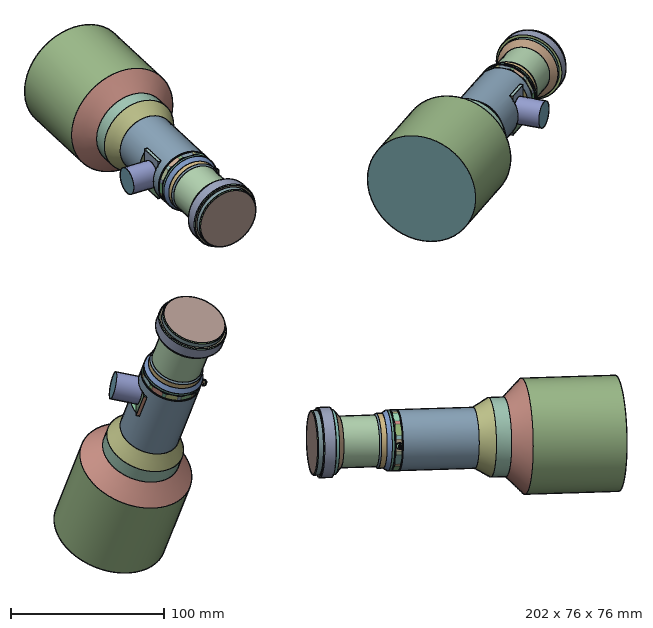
import cadquery as cq
import math

total_length = 202.0
hood_radius = 38.0
shoulder_radius = 26.0
body_radius = 20.0
neck_ring_radius = 18.0
tube_radius = 17.0
rim_radius = 21.2
flange_radius = 23.0

hood_end = 62.2
shoulder_start = 74.3
shoulder_end = 84.4
body_start = 94.7
body_chamfer_start = 152.2
neck_ring_start = 155.3
neck_ring_end = 158.9
tube_start = 160.1
eyecup_start = 183.7
eyecup_cone_end = 187.4
flange_start = 189.8
flange_end = 198.0
flange_chamfer = 0.6
rim_chamfer = 0.6

ring_start = 145.0
ring_end = 150.5
ring_sides = 12
ring_flat_distance = 19.5
ring_bevel = 0.8
ring_bevel_drop = 1.0

pin_x = 129.2
pin_radius = 9.0
pin_reach = 34.5
pad_height = 28.5
pad_distance = 16.4

screw_radius = 1.0
screw_head_radius = 2.2
screw_head_base = 20.4
screw_head_chamfer = 1.0
screw_reach = 23.5
screw_slot_width = 1.0
screw_slot_depth = 0.6


def revolved_body():
    outline = [
        (0, 0),
        (0, hood_radius),
        (hood_end, hood_radius),
        (shoulder_start, shoulder_radius),
        (shoulder_end, shoulder_radius),
        (body_start, body_radius),
        (body_chamfer_start, body_radius),
        (neck_ring_start, neck_ring_radius),
        (neck_ring_end, neck_ring_radius),
        (tube_start, tube_radius),
        (eyecup_start, tube_radius),
        (eyecup_cone_end, rim_radius),
        (flange_start, rim_radius),
        (flange_start, flange_radius),
        (flange_end - flange_chamfer, flange_radius),
        (flange_end, flange_radius - flange_chamfer),
        (flange_end, rim_radius),
        (total_length - rim_chamfer, rim_radius),
        (total_length, rim_radius - rim_chamfer),
        (total_length, 0),
    ]
    return cq.Workplane("XY").polyline(outline).close().revolve(360, (0, 0), (1, 0))


def ring_space():
    """Plain band of the body that the grip ring replaces."""
    return (
        cq.Workplane("YZ", origin=(ring_start, 0, 0))
        .circle(hood_radius)
        .extrude(ring_end - ring_start)
    )


def grip_ring():
    """Polygon with flats facing the axes, its corners rounded and its ends bevelled."""
    low_radius = body_radius - ring_bevel_drop
    outline = [
        (ring_start, 0),
        (ring_start, low_radius),
        (ring_start + ring_bevel, body_radius),
        (ring_end - ring_bevel, body_radius),
        (ring_end, low_radius),
        (ring_end, 0),
    ]
    blank = cq.Workplane("XY").polyline(outline).close().revolve(360, (0, 0), (1, 0))
    corner_diameter = 2 * ring_flat_distance / math.cos(math.pi / ring_sides)
    prism = (
        cq.Workplane("YZ", origin=(ring_start, 0, 0))
        .transformed(rotate=(0, 0, 180 / ring_sides))
        .polygon(ring_sides, corner_diameter)
        .extrude(ring_end - ring_start)
    )
    return blank.intersect(prism)


def pad_block(reach):
    """Block under the pin, from the optical axis out to the given distance."""
    return cq.Workplane("XY").box(2 * pin_radius, reach, pad_height).translate((pin_x, -reach / 2, 0))


def side_pin():
    return cq.Workplane("XZ", origin=(pin_x, 0, 0)).circle(pin_radius).extrude(pin_reach)


def clamping_screw():
    screw_x = (ring_start + ring_end) / 2
    outline = [
        (0, 0),
        (screw_radius, 0),
        (screw_radius, screw_head_base),
        (screw_head_radius, screw_head_base + screw_head_chamfer),
        (screw_head_radius, screw_reach - screw_head_chamfer),
        (screw_head_radius - screw_head_chamfer, screw_reach),
        (0, screw_reach),
    ]
    screw = cq.Workplane("XY").polyline(outline).close().revolve(360, (0, 0), (0, 1))
    slot = cq.Workplane("XY").box(screw_slot_width, 2 * screw_slot_depth, 2 * screw_head_radius)
    return screw.cut(slot.translate((0, screw_reach, 0))).translate((screw_x, 0, 0))


result = revolved_body().cut(ring_space()).union(grip_ring())
result = result.cut(pad_block(hood_radius)).union(pad_block(pad_distance))
result = result.union(side_pin()).union(clamping_screw())